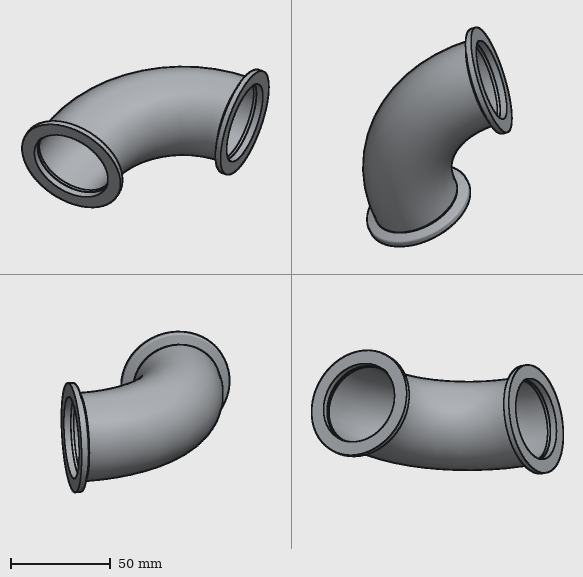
import cadquery as cq
import math

overall_length = 92.5
flange_diameter = 55.0
flange_radius = flange_diameter / 2
end_reach = overall_length - flange_radius

tube_outer_radius = 44.5 / 2
tube_inner_radius = 40.5 / 2

flange_length = 5.0
rim_width = 2.3
rim_round_radius = 1.0
cone_angle = math.radians(15)
recess_radius = 41.1 / 2
recess_depth = 3.5

bend_radius = end_reach - flange_length


def make_flange():
    """Ring around +Z with its outer face at Z = 0, ending in a short weld collar."""
    round_center_r = flange_radius - rim_round_radius

    def round_point(angle):
        return (
            round_center_r + rim_round_radius * math.cos(angle),
            rim_width + rim_round_radius * math.sin(angle),
        )

    round_sweep = math.pi / 2 - cone_angle
    cone_start_r, cone_start_z = round_point(round_sweep)
    cone_end_z = cone_start_z + (cone_start_r - tube_outer_radius) * math.tan(cone_angle)

    profile = (
        cq.Workplane("XZ")
        .moveTo(recess_radius, 0)
        .lineTo(flange_radius, 0)
        .lineTo(flange_radius, rim_width)
        .threePointArc(round_point(round_sweep / 2), (cone_start_r, cone_start_z))
        .lineTo(tube_outer_radius, cone_end_z)
        .lineTo(tube_outer_radius, flange_length)
        .lineTo(tube_inner_radius, flange_length)
        .lineTo(tube_inner_radius, recess_depth)
        .lineTo(recess_radius, recess_depth)
        .close()
    )
    return profile.revolve(360, (0, 0, 0), (0, 1, 0)).val()


def make_bend():
    """Quarter-turn tube running from the -Y flange to the +X flange."""
    section = (
        cq.Workplane("XZ", origin=(flange_radius, flange_length, 0))
        .circle(tube_outer_radius)
        .circle(tube_inner_radius)
    )
    return section.revolve(90, (bend_radius, 0, 0), (bend_radius, -1, 0)).val()


end_planes = [
    cq.Plane(origin=(flange_radius, 0, 0), xDir=(1, 0, 0), normal=(0, 1, 0)),
    cq.Plane(origin=(overall_length, end_reach, 0), xDir=(0, 1, 0), normal=(-1, 0, 0)),
]

bend = make_bend()
flanges = [make_flange().moved(cq.Location(plane)) for plane in end_planes]

result = cq.Compound.makeCompound([bend, *flanges])